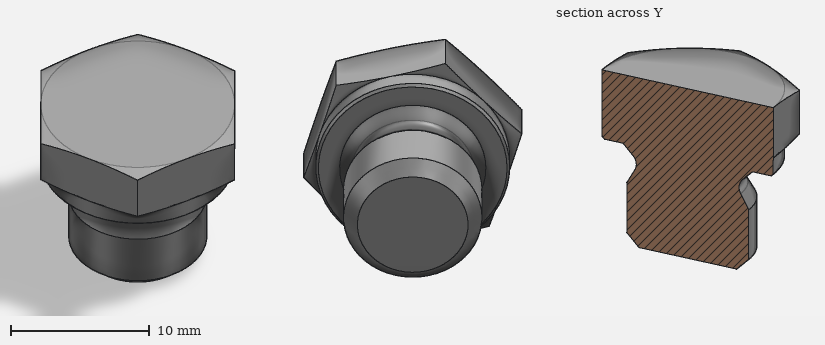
import cadquery as cq
import math

across_corners = 16.17
total_height = 13.5
hex_height = 4.01
collar_height = 1.49
collar_chamfer = 0.2
shank_radius = 5.0
tip_chamfer = 1.0
thread_top = 4.95

neck_radius = 4.22
neck_arc_radius = 0.92
neck_height = 6.57
lower_cone_angle = 30
upper_cone_angle = 45

hex_chamfer_angle = 15

corner_radius = across_corners / 2
flat_radius = corner_radius * math.cos(math.radians(30))
hex_bottom = total_height - hex_height
collar_bottom = hex_bottom - collar_height
hex_chamfer_height = (corner_radius - flat_radius) * math.tan(math.radians(hex_chamfer_angle))


def neck_point(angle):
    """Point on the neck arc, at an angle above its narrowest point."""
    turn = math.radians(angle)
    radius = neck_radius + neck_arc_radius * (1 - math.cos(turn))
    return radius, neck_height + neck_arc_radius * math.sin(turn)


def make_hexagon():
    """Hexagon with corners on the Y axis, its corners turned to a cone at both ends."""
    prism = (
        cq.Workplane("XY", origin=(0, 0, hex_bottom))
        .transformed(rotate=(0, 0, 90))
        .polygon(6, across_corners)
        .extrude(hex_height)
    )
    turned_envelope = (
        cq.Workplane("XZ")
        .moveTo(0, hex_bottom)
        .lineTo(flat_radius, hex_bottom)
        .lineTo(corner_radius, hex_bottom + hex_chamfer_height)
        .lineTo(corner_radius, total_height - hex_chamfer_height)
        .lineTo(flat_radius, total_height)
        .lineTo(0, total_height)
        .close()
        .revolve(360, (0, 0), (0, 1))
    )
    return prism.intersect(turned_envelope)


def make_turned_body():
    """Shank, undercut neck and collar as one revolved profile."""
    arc_start = neck_point(-lower_cone_angle)
    arc_end = neck_point(upper_cone_angle)
    cone_rise = collar_bottom - arc_end[1]
    cone_top_radius = arc_end[0] + cone_rise * math.tan(math.radians(upper_cone_angle))
    return (
        cq.Workplane("XZ")
        .lineTo(shank_radius - tip_chamfer, 0)
        .lineTo(shank_radius, tip_chamfer)
        .lineTo(shank_radius, thread_top)
        .lineTo(*arc_start)
        .threePointArc(neck_point(0), arc_end)
        .lineTo(cone_top_radius, collar_bottom)
        .lineTo(flat_radius - collar_chamfer, collar_bottom)
        .lineTo(flat_radius, collar_bottom + collar_chamfer)
        .lineTo(flat_radius, hex_bottom)
        .lineTo(0, hex_bottom)
        .close()
        .revolve(360, (0, 0), (0, 1))
    )


result = make_turned_body().union(make_hexagon())